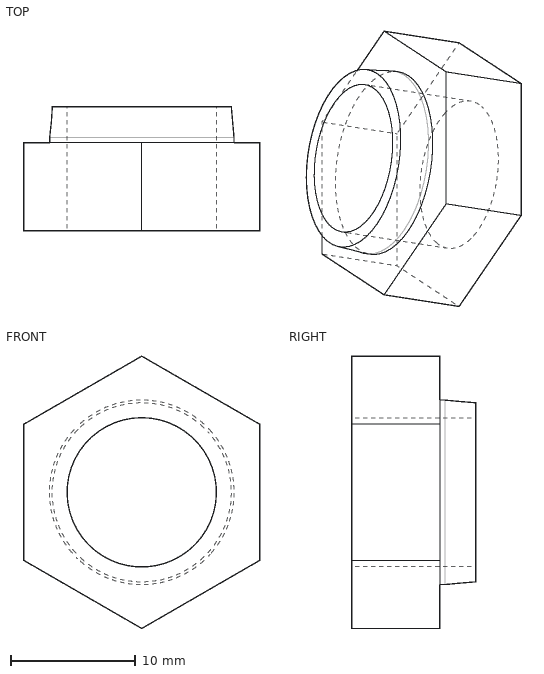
import cadquery as cq
import math

corner_diameter = 21.95
hex_thickness = 7.1

total_length = 10.0
collar_root_diameter = 14.88
collar_root_length = 0.4
collar_taper_angle = 5.0

bore_diameter = 12.0

front_y = -total_length / 2
front_plane = cq.Plane(origin=(0, front_y, 0), xDir=(0, 0, 1), normal=(0, 1, 0))


def make_body():
    return cq.Workplane(front_plane).polygon(6, corner_diameter).extrude(hex_thickness)


def make_collar():
    base_y = front_y + hex_thickness
    taper_start_y = base_y + collar_root_length
    tip_y = front_y + total_length
    root_radius = collar_root_diameter / 2
    taper_drop = (tip_y - taper_start_y) * math.tan(math.radians(collar_taper_angle))
    profile = [
        (0, base_y),
        (root_radius, base_y),
        (root_radius, taper_start_y),
        (root_radius - taper_drop, tip_y),
        (0, tip_y),
    ]
    return cq.Workplane("XY").polyline(profile).close().revolve(360, (0, 0, 0), (0, 1, 0))


def make_bore():
    return cq.Workplane(front_plane).circle(bore_diameter / 2).extrude(total_length)


result = make_body().union(make_collar()).cut(make_bore())